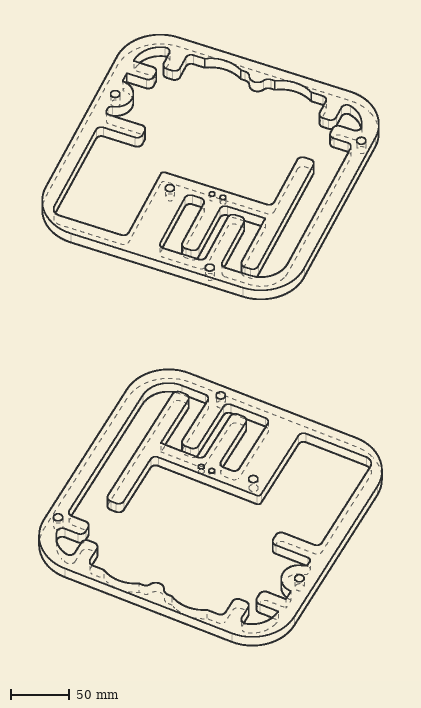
import cadquery as cq

side = 240.0
thickness = 12.0
corner_radius = 40.0
rail_width = 15.0
top_rail_width = 13.7
inner_half = side / 2 - rail_width
upper_corner_top = 105.8
inner_top = side / 2 - top_rail_width
inner_radius = corner_radius - rail_width
lower_left_inner_radius = 8.0

arm_width = rail_width
half_arm = arm_width / 2
overlap = rail_width / 2
tip_radius = 5.0
root_radius = 4.8

top_tab_x = 72.5
top_tab_end = 83.3
side_tab_y = 73.2
side_tab_end = 82.0

left_arm_y = 9.0
left_arm_end = -65.8
lug_y = 40.8
lug_radius = rail_width
lug_root_radius = 3.4

block_left = -34.5
block_right = -5.0
bar_top = -25.2
bar_bottom = bar_top - arm_width
block_corner_radius = 3.0
hanging_arm_x = 20.0
standing_arm_x = 45.0
standing_arm_end = -46.5
long_arm_x = 75.0
long_arm_top = 36.2
arm_bottom = -98.0

scallop_x = 32.6
scallop_radius = 32.0
scallop_top = 111.0
nub_radius = 7.2
nub_bottom = 98.5
nub_root_radius = 6.0

through_diameter = 8.0
through_points = [(-105.0, 40.0), (110.2, 72.2), (-21.0, -40.0), (standing_arm_x, -110.0)]
blind_diameter = 5.0
blind_depth = thickness / 2
blind_points = [(15.0, -32.5), (25.0, -32.5)]


def block(x_min, x_max, y_min, y_max):
    """Full-thickness rectangular block between two corners."""
    corner = cq.Workplane("XY", origin=(x_min, y_min, 0))
    return corner.box(x_max - x_min, y_max - y_min, thickness, centered=False)


def upright(x, y_min, y_max):
    """Arm along Y, centred on x."""
    return block(x - half_arm, x + half_arm, y_min, y_max)


def level(y, x_min, x_max):
    """Arm along X, centred on y."""
    return block(x_min, x_max, y - half_arm, y + half_arm)


def disc(x, y, radius):
    """Full-thickness cylinder."""
    return cq.Workplane("XY").center(x, y).circle(radius).extrude(thickness)


def round_corners(body, points, radius):
    """Fillet the vertical edges nearest to the given outline corners."""
    edges = []
    for x, y in points:
        nearest = cq.NearestToPointSelector((x, y, thickness / 2))
        edges += body.edges("|Z").edges(nearest).vals()
    return body.newObject(edges).fillet(radius)


def round_tip(arm, end):
    """Round the two vertical edges of the arm's free end face."""
    return arm.faces(end).edges("|Z").fillet(tip_radius)


def mirrored(points):
    """The points together with their mirror images across the Y axis."""
    return points + [(-x, y) for x, y in points]


def make_frame():
    """Rounded square ring, deepened between the top tabs, with one tighter inner corner."""
    plate = block(-side / 2, side / 2, -side / 2, side / 2).edges("|Z").fillet(corner_radius)
    window = block(-inner_half, inner_half, -inner_half, upper_corner_top)
    window = round_corners(window, [(-inner_half, -inner_half)], lower_left_inner_radius)
    large_corners = [(inner_half, -inner_half)] + mirrored([(inner_half, upper_corner_top)])
    window = round_corners(window, large_corners, inner_radius)
    recess = block(-top_tab_x, top_tab_x, 0, inner_top)
    return plate.cut(window).cut(recess)


def make_comb():
    """Lower block with its crossbar, hanging arm and long arm."""
    comb = block(block_left, block_right, -inner_half - overlap, bar_top)
    comb = comb.union(block(block_left, long_arm_x, bar_bottom, bar_top))
    comb = comb.union(round_tip(upright(hanging_arm_x, arm_bottom, bar_top - overlap), "<Y"))
    long_arm = upright(long_arm_x, arm_bottom, long_arm_top)
    return comb.union(long_arm.edges("|Z").fillet(tip_radius))


result = make_frame()

for sign in (-1, 1):
    top_tab = upright(sign * top_tab_x, top_tab_end, inner_top + overlap)
    result = result.union(round_tip(top_tab, "<Y"))
    side_tab = level(side_tab_y, side_tab_end, inner_half + overlap)
    side_tab = round_tip(side_tab, "<X")
    result = result.union(side_tab if sign > 0 else side_tab.mirror("YZ"))
left_arm = level(left_arm_y, -inner_half - overlap, left_arm_end)
standing_arm = upright(standing_arm_x, -inner_half - overlap, standing_arm_end)
result = result.union(round_tip(left_arm, ">X"))
result = result.union(round_tip(standing_arm, ">Y"))
result = result.union(disc(-inner_half, lug_y, lug_radius))
result = result.union(make_comb())

result = result.union(disc(0, nub_bottom + nub_radius, nub_radius))
result = round_corners(result, mirrored([(nub_radius, inner_top)]), nub_root_radius)
for x in (-scallop_x, scallop_x):
    result = result.cut(disc(x, scallop_top - scallop_radius, scallop_radius))

roots = mirrored([(top_tab_x - half_arm, inner_top), (top_tab_x + half_arm, upper_corner_top)])
roots += [(inner_half, side_tab_y - half_arm), (inner_half, side_tab_y + half_arm)]
roots += [(-inner_half, left_arm_y - half_arm)]
roots += [(block_left, -inner_half), (block_right, -inner_half), (block_right, bar_bottom)]
roots += [(standing_arm_x - half_arm, -inner_half), (standing_arm_x + half_arm, -inner_half)]
roots += [(hanging_arm_x - half_arm, bar_bottom), (hanging_arm_x + half_arm, bar_bottom)]
roots += [(long_arm_x - half_arm, bar_top)]
result = round_corners(result, roots, root_radius)
lug_roots = [(-inner_half, left_arm_y + half_arm), (-inner_half, lug_y - lug_radius)]
result = round_corners(result, lug_roots, lug_root_radius)
result = round_corners(result, [(block_left, bar_top)], block_corner_radius)

for x, y in through_points:
    result = result.cut(disc(x, y, through_diameter / 2))
for x, y in blind_points:
    result = result.cut(disc(x, y, blind_diameter / 2).translate((0, 0, thickness - blind_depth)))